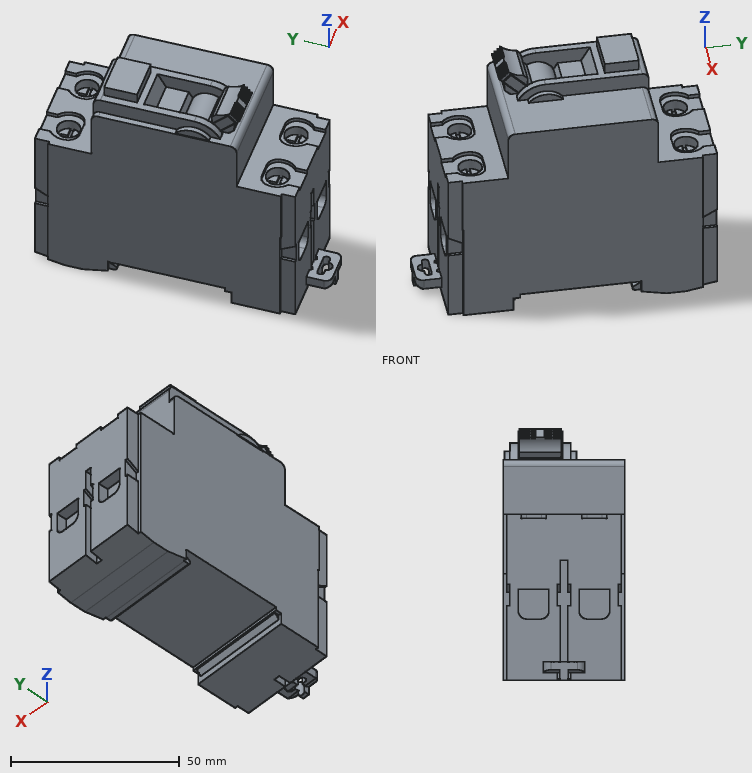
import cadquery as cq
import math


width = 36.0
depth = 81.0
shoulder_height = 49.2
nose_height = 65.4
nose_back = 22.6
nose_front = -22.6
edge_radius = 2.0
half_width = width / 2
half_depth = depth / 2

rail_height = 5.5
rail_back = 17.5
rail_front = -18.9
rail_step_height = 4.25
foot_front = -21.0
foot_flat_back = 30.9
foot_flat_front = 25.1
foot_back_rise = 1.7
hook_inset = 1.1

groove_width = 1.1
groove_depth = 4.4
front_groove_upper_depth = 4.2
front_groove_step_height = 31.6
seam_height = 35.6
pocket_extra_width = 0.9
pocket_bottom = 22.0
pocket_top_inner = 26.0
pocket_top_outer = 28.5

pole_x = width / 4
terminal_y = 32.5
recess_depth = 1.2
recess_radius = 5.8
recess_flat = 4.2
recess_corner_radius = 3.5
recess_neck_width = 7.35
screw_radius = 3.5
screw_length = 5.3
screw_sink = 3.3
screw_slot_width = 1.1
screw_slot_depth = 0.9
screw_short_slot_length = 5.1
window_width = 9.1
window_bottom = 18.1
window_top = 26.9
window_depth = 3.7
window_radius = 2.5

frame_x = -7.0
frame_width = 18.05
frame_top = 70.4
opening_width = 13.3
pivot_y = -8.7
frame_nose_radius = 9.2
pivot_z = frame_top - frame_nose_radius
hub_radius = 6.7
hub_width = 21.4
cavity_back = 7.6
cavity_floor = 65.75
floor_front = -2.1
slope_run = 2.65
barrel_slope_run = 1.8
slope_steepness = (frame_top - cavity_floor) / slope_run

lever_angle = 45
barrel_radius = 5.8
core_half_thickness = 1.7
core_reach = 15.6
grip_width = 12.5
grip_offset = -0.1
grip_start = 8.85
grip_start_half = 2.2
grip_bulge_start = 10.4
grip_bulge_end = 12.1
grip_bulge_end_under = 12.7
grip_bulge_half = 3.7
grip_mid_reach = 14.5
grip_mid_half = 2.3
tip_reach = 17.125
tip_half = 1.8
knurl_rows = 3
knurl_pitch = 2 * tip_half / knurl_rows
knurl_depth = knurl_pitch / 2
plain_tip_width = 2.5
knurl_columns = 6
knurl_slot_width = 0.35

button_back = 20.0
button_length = 10.3
button_top = 73.7

clip_length = 88.5 - depth
clip_width = 12.2
clip_bottom = 2.2
clip_radius = 2.1
clip_ramp_length = 1.8
clip_ramp_height = 0.9
rear_leg_width = 3.9
rear_leg_length = 2.5
front_leg_width = 2.5
front_leg_length = 2.0
leg_chamfer = 0.4
slot_width = 7.7
slot_thickness = 2.0
slot_gap = 3.45
keyhole_radius = 1.55
keyhole_gap = 4.6
notch_radius = 0.75
notch_x = 2.2


def block(x0, x1, y0, y1, z0, z1):
    """Box between two opposite corners."""
    return cq.Workplane("XY").box(x1 - x0, y1 - y0, z1 - z0, centered=False).translate((x0, y0, z0))


def side_profile(points, x_center, x_width):
    """Closed outline of (y, z) points, extruded along X about x_center."""
    sketch = cq.Workplane("YZ", origin=(x_center, 0, 0)).polyline(points).close()
    return sketch.extrude(x_width / 2, both=True)


def x_cylinder(radius, length):
    """Cylinder on the lever pivot axis, centred across the frame."""
    axis = cq.Workplane("YZ", origin=(frame_x, pivot_y, pivot_z))
    return axis.circle(radius).extrude(length / 2, both=True)


def both_ends(feature):
    """A feature of the front end together with its mirror image at the back end."""
    return feature.union(feature.mirror("XZ"))



def housing_shell():
    outline = [
        (half_depth, foot_back_rise),
        (half_depth, shoulder_height),
        (nose_back, shoulder_height),
        (nose_back, nose_height),
        (nose_front, nose_height),
        (nose_front, shoulder_height),
        (-half_depth, shoulder_height),
        (-half_depth, 0),
        (foot_front, 0),
        (foot_front, rail_step_height),
        (rail_front, rail_step_height),
        (rail_front, rail_height),
        (rail_back, rail_height),
        (rail_back, foot_back_rise),
        (foot_flat_front, 0),
        (foot_flat_back, 0),
    ]
    shell = side_profile(outline, 0, width)
    return shell.edges("|X and >Z").fillet(edge_radius)


def rail_hooks():
    """Hooks at both sides of the rail groove, set in from the side walls."""
    back_hook = [
        (rail_back, foot_back_rise),
        (rail_back, 4.5),
        (15.05, 3.0),
        (15.05, 2.1),
        (15.6, foot_back_rise),
    ]
    front_hook = [(-19.5, rail_step_height), (foot_front, rail_step_height), (foot_front, 2.5)]
    hook_width = width - 2 * hook_inset
    return side_profile(back_hook, 0, hook_width).union(side_profile(front_hook, 0, hook_width))


def lever_frame():
    """Raised frame with a round nose about the pivot, and the wider hub through it."""
    nose_drop = nose_height - pivot_z
    nose_tip = (pivot_y - math.sqrt(frame_nose_radius**2 - nose_drop**2), nose_height)
    diagonal = frame_nose_radius / math.sqrt(2)
    frame = (
        cq.Workplane("YZ", origin=(frame_x, 0, 0))
        .moveTo(nose_back, shoulder_height)
        .lineTo(nose_back, frame_top)
        .lineTo(pivot_y, frame_top)
        .threePointArc((pivot_y - diagonal, pivot_z + diagonal), nose_tip)
        .lineTo(nose_tip[0], shoulder_height)
        .close()
        .extrude(frame_width / 2, both=True)
    )
    frame = frame.edges("|X and >Z and >Y").fillet(edge_radius)
    return frame.union(x_cylinder(hub_radius, hub_width))


def lever_cavity():
    """Opening in the frame: two slopes, a flat floor and a bed around the lever barrel."""
    slope_bottom = cavity_floor - barrel_slope_run * slope_steepness
    outline = [
        (cavity_back, frame_top),
        (cavity_back - slope_run, cavity_floor),
        (floor_front, cavity_floor),
        (floor_front - barrel_slope_run, slope_bottom),
        (pivot_y, slope_bottom),
        (pivot_y, nose_height),
        (nose_front, nose_height),
        (nose_front, frame_top),
    ]
    return side_profile(outline, frame_x, opening_width).union(lever_core())


def corner_grooves():
    """Rebates along the front vertical edges, slightly shallower in their upper part."""
    grooves = cq.Workplane("XY")
    for z0, z1, groove in (
        (0, front_groove_step_height, groove_depth),
        (front_groove_step_height, shoulder_height, front_groove_upper_depth),
    ):
        left = block(-half_width, -half_width + groove_width, -half_depth, -half_depth + groove, z0, z1)
        grooves = grooves.union(left).union(left.mirror("YZ"))
    return grooves


def back_corner_grooves():
    left = block(
        -half_width, -half_width + groove_width, half_depth - groove_depth, half_depth, 0, shoulder_height
    )
    return left.union(left.mirror("YZ"))


def seam_and_pockets():
    """Centre seam between the poles and the grip pockets in the seam and corner grooves."""
    front = -half_depth
    inner = front + groove_depth
    cuts = block(-groove_width, groove_width, front, inner, 0, seam_height)
    outline = [
        (front, pocket_bottom),
        (inner, pocket_bottom),
        (inner, pocket_top_inner),
        (front, pocket_top_outer),
    ]
    pocket_half = groove_width + pocket_extra_width
    for x in (-half_width, 0, half_width):
        cuts = cuts.union(side_profile(outline, x, 2 * pocket_half))
    return cuts


def terminal_cuts(x):
    """Screw hole, keyhole-shaped recess and wire window of one front terminal."""
    recess_floor = shoulder_height - recess_depth
    flat_y = -terminal_y + recess_flat
    disc = cq.Workplane("XY", origin=(x, -terminal_y, recess_floor)).circle(recess_radius)
    recess = disc.extrude(recess_depth)
    recess = recess.cut(
        block(x - width, x + width, flat_y, 0, recess_floor, shoulder_height)
    )
    recess = recess.edges("|Z and >Y").fillet(recess_corner_radius)
    neck_half = recess_neck_width / 2
    neck = block(x - neck_half, x + neck_half, -half_depth, -terminal_y, recess_floor, shoulder_height)
    bore_depth = recess_depth + screw_sink + screw_length
    bore = (
        cq.Workplane("XY", origin=(x, -terminal_y, shoulder_height - bore_depth))
        .circle(screw_radius)
        .extrude(bore_depth)
    )
    window_half = window_width / 2
    window = block(
        x - window_half, x + window_half, -half_depth, -half_depth + window_depth, window_bottom, window_top
    )
    window = window.edges("|Y and <Z").fillet(window_radius)
    return recess.union(neck).union(bore).union(window)


def make_housing():
    body = housing_shell().union(rail_hooks()).union(lever_frame()).cut(lever_cavity())
    body = body.cut(corner_grooves()).cut(back_corner_grooves()).cut(both_ends(seam_and_pockets()))
    for x in (-pole_x, pole_x):
        body = body.cut(both_ends(terminal_cuts(x)))
    return body



def lever_plane(x_center):
    """Local axes at the pivot: first along the lever, second across it (up and back)."""
    angle = math.radians(lever_angle)
    along = (0, -math.cos(angle), math.sin(angle))
    return cq.Workplane(cq.Plane(origin=(x_center, pivot_y, pivot_z), xDir=along, normal=(-1, 0, 0)))


def lever_core():
    """Barrel on the pivot with the flat core that carries the grip."""
    core = (
        lever_plane(frame_x)
        .moveTo(core_reach / 2, 0)
        .rect(core_reach, 2 * core_half_thickness)
        .extrude(opening_width / 2, both=True)
    )
    return x_cylinder(barrel_radius, opening_width).union(core)


def lever_grip():
    """Grip with a bulge near the frame and hollow flanks running out to the tip."""
    return (
        lever_plane(frame_x + grip_offset)
        .moveTo(grip_start, -grip_start_half)
        .lineTo(grip_bulge_start, -grip_bulge_half)
        .lineTo(grip_bulge_end_under, -grip_bulge_half)
        .threePointArc((grip_mid_reach, -grip_mid_half), (tip_reach, -tip_half))
        .lineTo(tip_reach, tip_half)
        .threePointArc((grip_mid_reach, grip_mid_half), (grip_bulge_end, grip_bulge_half))
        .lineTo(grip_bulge_start, grip_bulge_half)
        .lineTo(grip_start, grip_start_half)
        .close()
        .extrude(grip_width / 2, both=True)
    )


def knurl_cuts():
    """V grooves along the tip crossed by fine slots, on both sides of a plain middle."""
    knurl_width = (grip_width - plain_tip_width) / 2
    column_pitch = knurl_width / knurl_columns
    cuts = cq.Workplane("XY")
    for side in (-1, 1):
        knurl_x = frame_x + grip_offset + side * (plain_tip_width + knurl_width) / 2
        for row in range(knurl_rows):
            across = (row - (knurl_rows - 1) / 2) * knurl_pitch
            groove = (
                lever_plane(knurl_x)
                .polyline([
                    (tip_reach, across - knurl_pitch / 2),
                    (tip_reach - knurl_depth, across),
                    (tip_reach, across + knurl_pitch / 2),
                ])
                .close()
                .extrude(knurl_width / 2, both=True)
            )
            cuts = cuts.union(groove)
        for column in range(knurl_columns):
            slot_x = knurl_x + (column - (knurl_columns - 1) / 2) * column_pitch
            slot = (
                lever_plane(slot_x)
                .moveTo(tip_reach - knurl_depth / 2, 0)
                .rect(knurl_depth, 2 * tip_half + knurl_pitch)
                .extrude(knurl_slot_width / 2, both=True)
            )
            cuts = cuts.union(slot)
    return cuts


def make_lever():
    return lever_core().union(lever_grip()).cut(knurl_cuts())



def make_button():
    half = opening_width / 2
    return block(frame_x - half, frame_x + half, button_back - button_length, button_back, frame_top, button_top)



def make_clip():
    """Pull-out clip on the front face, with a keyhole slot and two pairs of feet."""
    rear = -half_depth
    front = rear - clip_length
    half = clip_width / 2
    plate = block(-half, half, front, rear, clip_bottom, rail_height)
    plate = plate.edges("|Z and <Y").fillet(clip_radius)
    ramp = side_profile(
        [
            (front, clip_bottom),
            (front + clip_ramp_length, clip_bottom),
            (front, clip_bottom + clip_ramp_height),
        ],
        0,
        clip_width,
    )
    plate = plate.cut(ramp)

    rear_leg_half = rear_leg_width / 2
    rear_leg = block(-rear_leg_half, rear_leg_half, rear - rear_leg_length, rear, 0, clip_bottom)
    rear_leg = rear_leg.edges("|X and <Y and <Z").chamfer(leg_chamfer)
    front_leg_half = front_leg_width / 2
    front_leg = block(
        -front_leg_half, front_leg_half, front, front + front_leg_length, 0, clip_bottom + clip_ramp_height
    )
    front_leg = front_leg.edges("|X and >Y and <Z").chamfer(leg_chamfer)

    plan = cq.Workplane("XY")
    slot = plan.center(0, rear - slot_gap).slot2D(slot_width, slot_thickness).extrude(rail_height)
    keyhole = plan.center(0, rear - keyhole_gap).circle(keyhole_radius).extrude(rail_height)
    notches = plan.pushPoints([(-notch_x, rear), (notch_x, rear)]).circle(notch_radius).extrude(rail_height)
    return plate.union(rear_leg).union(front_leg).cut(slot).cut(keyhole).cut(notches)



def make_screw(x, y):
    """Screw filling the bottom of its hole, with a cross slot in its head."""
    head_top = shoulder_height - recess_depth - screw_sink
    screw = cq.Workplane("XY", origin=(x, y, head_top - screw_length)).circle(screw_radius).extrude(screw_length)
    slot_plane = cq.Workplane("XY", origin=(x, y, head_top - screw_slot_depth))
    long_slot = slot_plane.rect(2 * screw_radius, screw_slot_width).extrude(screw_slot_depth)
    short_slot = slot_plane.rect(screw_slot_width, screw_short_slot_length).extrude(screw_slot_depth)
    return screw.cut(long_slot).cut(short_slot)


housing = make_housing()
lever = make_lever()
button = make_button()
clip = make_clip()
screws = []
for screw_x in (-pole_x, pole_x):
    for screw_y in (-terminal_y, terminal_y):
        screws.append(make_screw(screw_x, screw_y).val())

result = cq.Compound.makeCompound([housing.val(), lever.val(), button.val(), clip.val(), *screws])